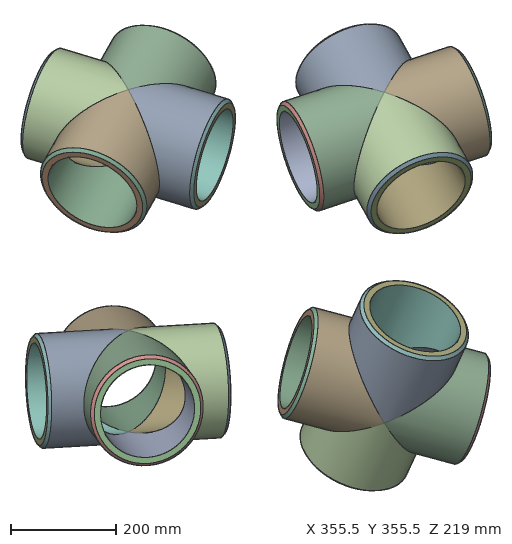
import cadquery as cq

length = 355.5
outer_diameter = 219.0
bore_diameter = 182.8
bevel = 6.0


def pipe_body(plane):
    """Solid outer cylinder centred on the origin, bevelled at both ends."""
    return (
        cq.Workplane(plane)
        .circle(outer_diameter / 2)
        .extrude(length / 2, both=True)
        .edges("%CIRCLE")
        .chamfer(bevel)
    )


def pipe_bore(plane):
    """Cylinder that clears the full length of a pipe."""
    return cq.Workplane(plane).circle(bore_diameter / 2).extrude(length / 2, both=True)


pipe_planes = ("YZ", "XZ")

result = pipe_body(pipe_planes[0]).union(pipe_body(pipe_planes[1]))
for plane in pipe_planes:
    result = result.cut(pipe_bore(plane))